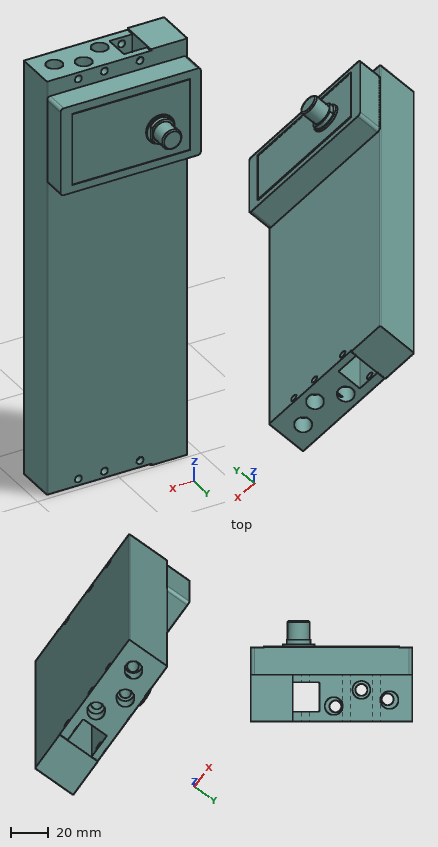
import cadquery as cq

width = 86.0
length = 259.0
body_depth = 25.0
edge_radius = 0.5

column_width = 22.5
end_setback = 1.0

shaft_width = 14.0
shaft_front = 5.3
shaft_back = 20.9
shaft_corner_radius = 0.5

bore_diameter = 9.5
bore_depth = 15.0
passage_diameter = 6.2
bore_centers = [(44.2, 8.3), (58.9, 16.9), (73.8, 11.5)]
passage_centers = [(45.1, 8.1), (58.9, 16.9), (72.8, 11.9)]

mount_diameter = 4.2
mount_end_distance = 5.1
mount_xs = [29.0, 50.8, 66.8]

box_top_distance = 10.5
box_height = 54.0
box_back = 39.5
box_corner_radius = 2.0

cover_left = 7.0
cover_right = 79.0
cover_back = 40.0
cover_margin = 5.0

overall_depth = 53.6
connector_x = 25.5
connector_top_distance = 40.5
connector_diameter = 12.0
connector_chamfer = 0.8
flange_diameter = 17.0
flange_back = 41.2
collar_diameter = 15.0
collar_flats_width = 12.8
collar_back = 43.6


def block(x_min, x_max, y_min, y_max, z_min, z_max):
    """Axis-aligned block given by its limits."""
    size = (x_max - x_min, y_max - y_min, z_max - z_min)
    return cq.Workplane("XY").box(*size, centered=False).translate((x_min, y_min, z_min))


def z_cylinder(center, diameter, z_min, z_max):
    """Cylinder along Z around an (x, y) center."""
    return cq.Workplane("XY", origin=(*center, z_min)).circle(diameter / 2).extrude(z_max - z_min)


def y_cylinder(x, z, diameter, y_min, y_max):
    """Cylinder along Y around an (x, z) center."""
    plane = cq.Plane(origin=(x, y_min, z), xDir=(1, 0, 0), normal=(0, 1, 0))
    return cq.Workplane(plane).circle(diameter / 2).extrude(y_max - y_min)


def make_body():
    column = block(0, column_width, 0, body_depth, 0, length).edges("|Z").fillet(edge_radius)
    main = block(edge_radius, width, 0, body_depth, end_setback, length - end_setback)
    main = main.edges("|Z and >X").fillet(edge_radius)
    return column.union(main)


def make_shaft():
    shaft = block(column_width, column_width + shaft_width, shaft_front, shaft_back, 0, length)
    return shaft.edges("|Z and >X").fillet(shaft_corner_radius)


def make_channel(bore_center, passage_center):
    channel = z_cylinder(passage_center, passage_diameter, 0, length)
    lower_bore = z_cylinder(bore_center, bore_diameter, 0, bore_depth)
    upper_bore = z_cylinder(bore_center, bore_diameter, length - bore_depth, length)
    return channel.union(lower_bore).union(upper_bore)


def make_box():
    box_top = length - box_top_distance
    box = block(0, width, body_depth, box_back, box_top - box_height, box_top)
    return box.edges("|Y").fillet(box_corner_radius)


def make_cover():
    cover_top = length - box_top_distance - cover_margin
    cover_bottom = cover_top - box_height + 2 * cover_margin
    return block(cover_left, cover_right, box_back, cover_back, cover_bottom, cover_top)


def make_connector():
    z = length - connector_top_distance
    barrel = y_cylinder(connector_x, z, connector_diameter, box_back, overall_depth)
    barrel = barrel.faces(">Y").chamfer(connector_chamfer)
    flange = y_cylinder(connector_x, z, flange_diameter, box_back, flange_back)
    collar = y_cylinder(connector_x, z, collar_diameter, flange_back, collar_back)
    half_width = collar_flats_width / 2
    flats = block(connector_x - half_width, connector_x + half_width, flange_back, collar_back, 0, length)
    return barrel.union(flange).union(collar.intersect(flats))


body = make_body().cut(make_shaft())
for bore_center, passage_center in zip(bore_centers, passage_centers):
    body = body.cut(make_channel(bore_center, passage_center))
for mount_x in mount_xs:
    for mount_z in (mount_end_distance, length - mount_end_distance):
        body = body.cut(y_cylinder(mount_x, mount_z, mount_diameter, 0, body_depth))

result = body.union(make_box()).union(make_cover()).union(make_connector())